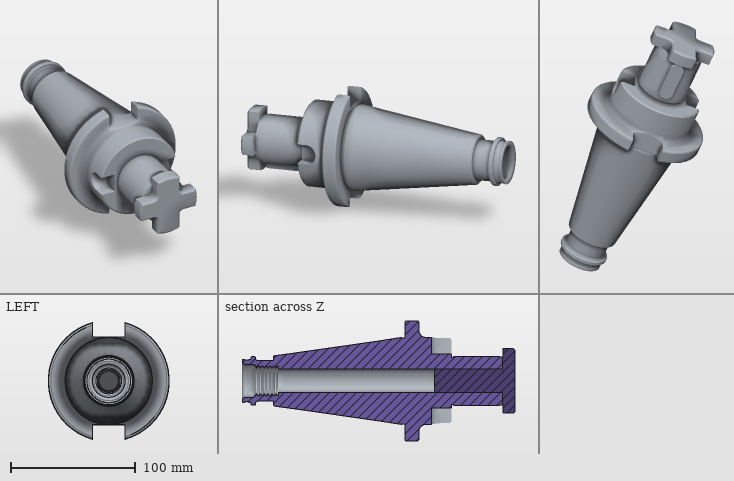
import cadquery as cq
import math

TOTAL_LENGTH = 218.8

TAIL_RADIUS = 17.5
TAIL_GROOVE_RADIUS = 16.8
TAIL_GROOVE_START = 1.5
TAIL_GROOVE_END = 6.0
TAIL_GROOVE_SLOPE = 1.3
TAIL_COLLAR_RADIUS = 19.7
TAIL_COLLAR_START = 7.0
TAIL_COLLAR_END = 10.7
TAIL_COLLAR_CHAMFER = 0.7
TAIL_STEP_END = 12.0
TAIL_NECK_RADIUS = 16.5

TAPER_START = 24.7
TAPER_SMALL_RADIUS = 20.3
TAPER_CHAMFER = 1.0
TAPER_END = 127.3
TAPER_LARGE_RADIUS = 35.0
UNDERCUT_RADIUS = 34.5
UNDERCUT_SLOPE = 1.8

FLANGE_START = 130.2
FLANGE_END = 141.8
FLANGE_DIAMETER = 97.0
FLANGE_RADIUS = FLANGE_DIAMETER / 2
FLANGE_ROUNDING = 2.0
DRIVER_SLOT_WIDTH = 25.8
DRIVER_SLOT_FLOOR = 35.2

COLLAR_RADIUS = 35.0
COLLAR_END = 167.8
COLLAR_CHAMFER = 1.3
COLLAR_FILLET = 5.3
FACE_SLOT_WIDTH = 16.2
FACE_SLOT_START = 151.8
FACE_SLOT_FLOOR = 21.9

SPIGOT_RADIUS = 20.0
SPIGOT_NECK_RADIUS = 19.0
SPIGOT_NECK_END = 169.0
SPIGOT_NECK_SLOPE = 0.9
SPIGOT_LEAD_START = 204.0
SPIGOT_LEAD_LENGTH = 3.5
SPIGOT_LEAD_RADIUS = 19.5
HEAD_LENGTH = 10.3
SPIGOT_END = TOTAL_LENGTH - HEAD_LENGTH

MOUTH_ROUNDING = 2.6
COUNTERBORE_RADIUS = 13.1
COUNTERBORE_DEPTH = 9.2
THREAD_ROOT_RADIUS = 11.8
THREAD_CREST_RADIUS = 10.3
THREAD_PITCH = 3.0
THREAD_CREST_WIDTH = 0.7
THREAD_RIDGES = 6
THREAD_ANGLE = 60.0
THREAD_FLANK = (THREAD_ROOT_RADIUS - THREAD_CREST_RADIUS) * math.tan(math.radians(THREAD_ANGLE / 2))

SHANK_RADIUS = 9.2
SHANK_LENGTH = 54.7
SHANK_CHAMFER = 1.3

KEY_START = 174.2
KEY_LENGTH = 32.2
KEY_WIDTH = 11.0
KEY_HEIGHT = 8.0
KEY_OUTER = 23.2

HEAD_RADIUS = 26.0
HEAD_CHAMFER = 1.5
UPRIGHT_ARM_WIDTH = 20.3
LEVEL_ARM_WIDTH = 16.5
ARM_FILLET = 3.7


def turned(outline):
    """Revolve an open (x, radius) outline, closed along its ends, about the X axis."""
    return outline.close().revolve(360, (0, 0, 0), (1, 0, 0))


def arc_inset(radius):
    """Inset of a quarter arc's midpoint from the two tangents through its ends."""
    return radius * (1 - math.sqrt(0.5))


def turned_blank():
    """Outside of the arbor from tail to spigot, without its slots and bore."""
    return turned(cq.Workplane("XZ").polyline([
        (0, 0),
        (0, TAIL_RADIUS),
        (TAIL_GROOVE_START, TAIL_RADIUS),
        (TAIL_GROOVE_START + TAIL_GROOVE_SLOPE, TAIL_GROOVE_RADIUS),
        (TAIL_GROOVE_END - TAIL_GROOVE_SLOPE, TAIL_GROOVE_RADIUS),
        (TAIL_GROOVE_END, TAIL_RADIUS),
        (TAIL_COLLAR_START, TAIL_RADIUS),
        (TAIL_COLLAR_START, TAIL_COLLAR_RADIUS - TAIL_COLLAR_CHAMFER),
        (TAIL_COLLAR_START + TAIL_COLLAR_CHAMFER, TAIL_COLLAR_RADIUS),
        (TAIL_COLLAR_END - TAIL_COLLAR_CHAMFER, TAIL_COLLAR_RADIUS),
        (TAIL_COLLAR_END, TAIL_COLLAR_RADIUS - TAIL_COLLAR_CHAMFER),
        (TAIL_COLLAR_END, TAIL_RADIUS),
        (TAIL_STEP_END, TAIL_NECK_RADIUS),
        (TAPER_START, TAIL_NECK_RADIUS),
        (TAPER_START, TAPER_SMALL_RADIUS - TAPER_CHAMFER),
        (TAPER_START + TAPER_CHAMFER, TAPER_SMALL_RADIUS),
        (TAPER_END, TAPER_LARGE_RADIUS),
        (TAPER_END + UNDERCUT_SLOPE, UNDERCUT_RADIUS),
        (FLANGE_START, UNDERCUT_RADIUS),
        (FLANGE_END, UNDERCUT_RADIUS),
        (FLANGE_END, COLLAR_RADIUS),
        (COLLAR_END - COLLAR_CHAMFER, COLLAR_RADIUS),
        (COLLAR_END, COLLAR_RADIUS - COLLAR_CHAMFER),
        (COLLAR_END, SPIGOT_NECK_RADIUS),
        (SPIGOT_NECK_END, SPIGOT_NECK_RADIUS),
        (SPIGOT_NECK_END + SPIGOT_NECK_SLOPE, SPIGOT_RADIUS),
        (SPIGOT_LEAD_START, SPIGOT_RADIUS),
        (SPIGOT_LEAD_START + SPIGOT_LEAD_LENGTH, SPIGOT_LEAD_RADIUS),
        (SPIGOT_END, SPIGOT_LEAD_RADIUS),
        (SPIGOT_END, 0),
    ]))


def flange():
    """Rounded flange disc with the concave sweep down to the collar."""
    disc = (
        cq.Workplane("YZ", origin=(FLANGE_START, 0, 0))
        .circle(FLANGE_RADIUS)
        .extrude(FLANGE_END - FLANGE_START)
        .edges()
        .fillet(FLANGE_ROUNDING)
    )
    sweep_end = FLANGE_END + COLLAR_FILLET
    inset = arc_inset(COLLAR_FILLET)
    sweep = turned(
        cq.Workplane("XZ")
        .moveTo(FLANGE_END, 0)
        .lineTo(FLANGE_END, COLLAR_RADIUS + COLLAR_FILLET)
        .threePointArc(
            (FLANGE_END + inset, COLLAR_RADIUS + inset),
            (sweep_end, COLLAR_RADIUS),
        )
        .lineTo(sweep_end, 0)
    )
    return disc.union(sweep)


def driver_slot(side):
    """Cutter for the driver slot on the +Z (side = 1) or -Z (side = -1) rim of the flange."""
    depth = FLANGE_RADIUS - DRIVER_SLOT_FLOOR
    length = COLLAR_END - FLANGE_START
    return cq.Workplane().box(length, DRIVER_SLOT_WIDTH, depth).translate(
        (FLANGE_START + length / 2, 0, side * (DRIVER_SLOT_FLOOR + depth / 2))
    )


def face_slot(side):
    """Cutter for the round-ended face slot on the +Y (side = 1) or -Y (side = -1) flank."""
    half_width = FACE_SLOT_WIDTH / 2
    centre = FACE_SLOT_START + half_width
    outline = (
        cq.Workplane("XZ", origin=(0, side * FACE_SLOT_FLOOR, 0))
        .moveTo(COLLAR_END, half_width)
        .lineTo(centre, half_width)
        .threePointArc((FACE_SLOT_START, 0), (centre, -half_width))
        .lineTo(COLLAR_END, -half_width)
        .close()
    )
    return outline.extrude(-side * (COLLAR_RADIUS - FACE_SLOT_FLOOR))


def thread_outline(start):
    """(x, radius) points of the ring-shaped thread ridges, from the given x onwards."""
    points = []
    for ridge in range(THREAD_RIDGES):
        root_end = start + ridge * THREAD_PITCH
        crest_start = root_end + THREAD_FLANK
        crest_end = crest_start + THREAD_CREST_WIDTH
        points += [
            (root_end, THREAD_ROOT_RADIUS),
            (crest_start, THREAD_CREST_RADIUS),
            (crest_end, THREAD_CREST_RADIUS),
            (crest_end + THREAD_FLANK, THREAD_ROOT_RADIUS),
        ]
    return points


def centre_bore():
    """Cutter for the bore, from the rounded and threaded tail mouth through to the spigot end."""
    inset = arc_inset(MOUTH_ROUNDING)
    thread_start = COUNTERBORE_DEPTH + COUNTERBORE_RADIUS - THREAD_ROOT_RADIUS
    thread_end = thread_start + THREAD_RIDGES * THREAD_PITCH
    outline = (
        cq.Workplane("XZ")
        .moveTo(0, 0)
        .lineTo(0, COUNTERBORE_RADIUS + MOUTH_ROUNDING)
        .threePointArc(
            (inset, COUNTERBORE_RADIUS + inset),
            (MOUTH_ROUNDING, COUNTERBORE_RADIUS),
        )
        .lineTo(COUNTERBORE_DEPTH, COUNTERBORE_RADIUS)
    )
    for x, radius in thread_outline(thread_start):
        outline = outline.lineTo(x, radius)
    return turned(
        outline
        .lineTo(thread_end, THREAD_ROOT_RADIUS)
        .lineTo(thread_end, SHANK_RADIUS)
        .lineTo(SPIGOT_END, SHANK_RADIUS)
        .lineTo(SPIGOT_END, 0)
    )


def feather_key():
    """Round-ended key, partly sunk into the -Z side of the spigot."""
    return (
        cq.Workplane("XY", origin=(KEY_START + KEY_LENGTH / 2, 0, -KEY_OUTER))
        .slot2D(KEY_LENGTH, KEY_WIDTH)
        .extrude(KEY_HEIGHT)
    )


def arbor():
    """Complete arbor with its slots, centre bore and keyway."""
    body = turned_blank().union(flange())
    for side in (1, -1):
        body = body.cut(driver_slot(side)).cut(face_slot(side))
    return body.cut(centre_bore()).cut(feather_key())


def screw_head():
    """Cross-shaped screw head resting on the end of the spigot."""
    disc = (
        cq.Workplane("YZ", origin=(SPIGOT_END, 0, 0))
        .circle(HEAD_RADIUS)
        .extrude(HEAD_LENGTH)
    )
    cross = (
        cq.Workplane("YZ", origin=(SPIGOT_END, 0, 0))
        .rect(UPRIGHT_ARM_WIDTH, 2 * HEAD_RADIUS)
        .extrude(HEAD_LENGTH)
        .union(
            cq.Workplane("YZ", origin=(SPIGOT_END, 0, 0))
            .rect(2 * HEAD_RADIUS, LEVEL_ARM_WIDTH)
            .extrude(HEAD_LENGTH)
        )
    )
    inner_corners = cq.selectors.BoxSelector(
        (SPIGOT_END, -UPRIGHT_ARM_WIDTH, -LEVEL_ARM_WIDTH),
        (TOTAL_LENGTH, UPRIGHT_ARM_WIDTH, LEVEL_ARM_WIDTH),
    )
    cross = cross.edges("|X").edges(inner_corners).fillet(ARM_FILLET)
    return disc.intersect(cross).faces(">X").edges().chamfer(HEAD_CHAMFER)


def retaining_screw():
    """Cross-headed screw whose chamfered shank fills the bore of the spigot."""
    shank = (
        cq.Workplane("YZ", origin=(SPIGOT_END - SHANK_LENGTH, 0, 0))
        .circle(SHANK_RADIUS)
        .extrude(SHANK_LENGTH)
        .faces("<X")
        .chamfer(SHANK_CHAMFER)
    )
    return screw_head().union(shank)


result = cq.Compound.makeCompound([
    arbor().val(),
    feather_key().val(),
    retaining_screw().val(),
])